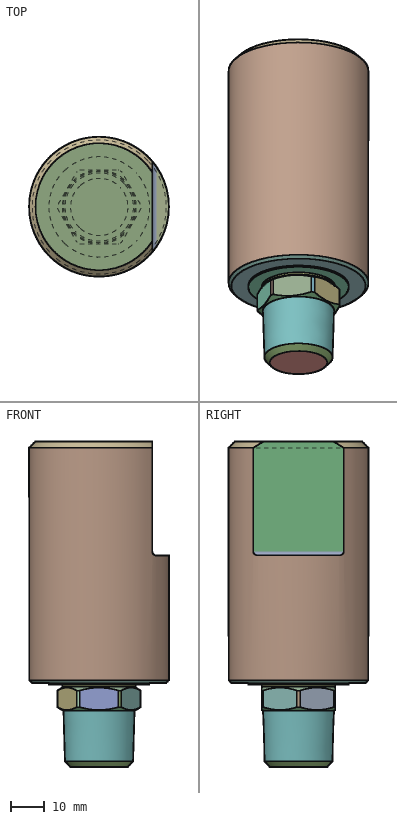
import cadquery as cq
import math

total_height = 97.0

tip_diameter = 17.1
spigot_small_diameter = 20.4
spigot_large_diameter = 21.2
tip_chamfer_height = 1.7
spigot_height = 16.8

hex_across_flats = 22.0
hex_corner_diameter = 24.8
hex_height = 7.1
hex_bevel_height = 1.1
hex_end_diameter = 21.3
hex_top = spigot_height + hex_height

neck_height = 0.7
washer_diameter = 30.0
washer_height = 0.5
body_bottom = hex_top + neck_height + washer_height

body_diameter = 41.7
bottom_chamfer = 0.9
top_chamfer = 1.9

flat_distance = 15.9
flat_depth_from_top = 33.95
flat_root_radius = 1.2


def disc(diameter, bottom, height):
    return cq.Workplane("XY").workplane(offset=bottom).circle(diameter / 2).extrude(height)


def make_spigot():
    profile = [
        (0, 0),
        (tip_diameter / 2, 0),
        (spigot_small_diameter / 2, tip_chamfer_height),
        (spigot_large_diameter / 2, spigot_height),
        (0, spigot_height),
    ]
    return cq.Workplane("XZ").polyline(profile).close().revolve(360, (0, 0, 0), (0, 1, 0))


def make_hexagon():
    across_corners = hex_across_flats / math.cos(math.pi / 6)
    prism = (
        cq.Workplane("XY")
        .workplane(offset=spigot_height)
        .polygon(6, across_corners)
        .extrude(hex_height)
    )
    bevel_width = (hex_corner_diameter - hex_end_diameter) / 2
    turned_envelope = (
        disc(hex_corner_diameter, spigot_height, hex_height)
        .faces("<Z").chamfer(hex_bevel_height, bevel_width)
        .faces(">Z").chamfer(hex_bevel_height, bevel_width)
    )
    return prism.intersect(turned_envelope)


def make_body():
    body = disc(body_diameter, body_bottom, total_height - body_bottom)
    body = body.faces("<Z").chamfer(bottom_chamfer)
    body = body.faces(">Z").chamfer(top_chamfer)
    flat_cutter = (
        cq.Workplane("XY")
        .box(body_diameter, body_diameter, flat_depth_from_top, centered=(False, True, False))
        .translate((flat_distance, 0, total_height - flat_depth_from_top))
        .edges("<X and <Z").fillet(flat_root_radius)
    )
    return body.cut(flat_cutter)


neck = disc(hex_across_flats, hex_top, neck_height)
washer_face = disc(washer_diameter, hex_top + neck_height, washer_height)
result = make_spigot().union(make_hexagon()).union(neck).union(washer_face).union(make_body())